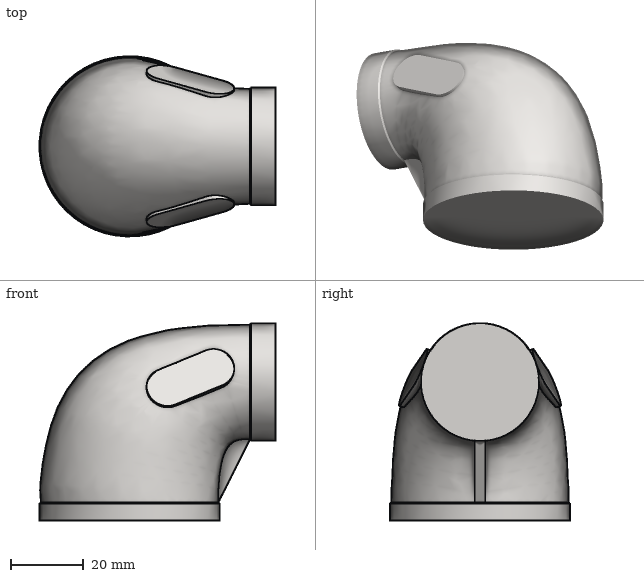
import cadquery as cq
import math


large_diameter = 49.47
large_end_distance = 38.0
large_band_length = 5.0

small_diameter = 32.34
overall_length = 64.73
small_end_distance = overall_length - large_diameter / 2
small_band_length = 7.0

band_chamfer = 0.4
body_large_radius = large_diameter / 2 - band_chamfer
body_small_radius = small_diameter / 2 - band_chamfer

outer_large_handle = 45.0
outer_small_handle = 29.0
inner_large_handle = 18.0
inner_small_handle = 4.0
mid_bend_flattening = 0.03
section_count = 9

web_thickness = 3.0
web_overlap = 1.0

pad_length = 25.6
pad_width = 11.0
pad_center = (16.7, 18.3, 1.25)
pad_normal = (0.12, 1.0, 0.39)
pad_rise = 0.41
pad_depth = 4.0

body_start_z = large_band_length - large_end_distance
body_end_x = small_end_distance - small_band_length


def bezier_point(points, t):
    """Point at t on the cubic Bezier curve with the given control points."""
    weights = [math.comb(3, k) * t**k * (1 - t) ** (3 - k) for k in range(4)]
    x = sum(w * p[0] for w, p in zip(weights, points))
    z = sum(w * p[1] for w, p in zip(weights, points))
    return cq.Vector(x, 0, z)


def bend_outline(side, large_handle, small_handle):
    """Control points (x, z) of the body outline; side is -1 outside the bend, +1 inside."""
    start_x = side * body_large_radius
    end_z = -side * body_small_radius
    return [
        (start_x, body_start_z),
        (start_x, body_start_z + large_handle),
        (body_end_x - small_handle, end_z),
        (body_end_x, end_z),
    ]


def make_body():
    """Loft of near-circular ellipses that each span from the outer to the inner outline."""
    outer_outline = bend_outline(-1, outer_large_handle, outer_small_handle)
    inner_outline = bend_outline(1, inner_large_handle, inner_small_handle)
    sections = []
    for index in range(section_count):
        t = index / (section_count - 1)
        outer = bezier_point(outer_outline, t)
        inner = bezier_point(inner_outline, t)
        across = inner - outer
        normal = across.cross(cq.Vector(0, 1, 0))
        plane = cq.Plane((outer + inner) / 2, across, normal)
        half_height = across.Length / 2
        half_width = half_height * (1 - mid_bend_flattening * math.sin(math.pi * t))
        section = cq.Workplane(plane).ellipse(half_height, half_width)
        sections.append(section.wires().val())
    return cq.Workplane(cq.Solid.makeLoft(sections))


def make_large_band():
    band = cq.Workplane("XY", origin=(0, 0, -large_end_distance))
    band = band.circle(large_diameter / 2).extrude(large_band_length)
    return band.faces(">Z").chamfer(band_chamfer)


def make_small_band():
    band = cq.Workplane("YZ", origin=(body_end_x, 0, 0))
    band = band.circle(small_diameter / 2).extrude(small_band_length)
    return band.faces("<X").chamfer(band_chamfer)


def make_web():
    """Triangular web whose sloping edge joins the two bands and runs on a little into them."""
    run = body_end_x - body_large_radius
    rise = -body_small_radius - body_start_z
    overlap_x = web_overlap * run / rise
    web = cq.Workplane("XZ").moveTo(body_large_radius - overlap_x, body_start_z - web_overlap)
    web = web.lineTo(body_end_x + overlap_x, -body_small_radius + web_overlap)
    web = web.lineTo(0, 0).close()
    return web.extrude(web_thickness / 2, both=True)


def make_pad():
    """Flat pad with round ends on the +Y side."""
    slope_y = -(pad_normal[0] + pad_rise * pad_normal[2]) / pad_normal[1]
    long_axis = (1.0, slope_y, pad_rise)
    plane = cq.Plane(pad_center, long_axis, pad_normal)
    return cq.Workplane(plane).slot2D(pad_length, pad_width).extrude(-pad_depth)


pad = make_pad()
result = make_body().union(make_web()).union(pad).union(pad.mirror("XZ"))
result = result.union(make_large_band()).union(make_small_band())